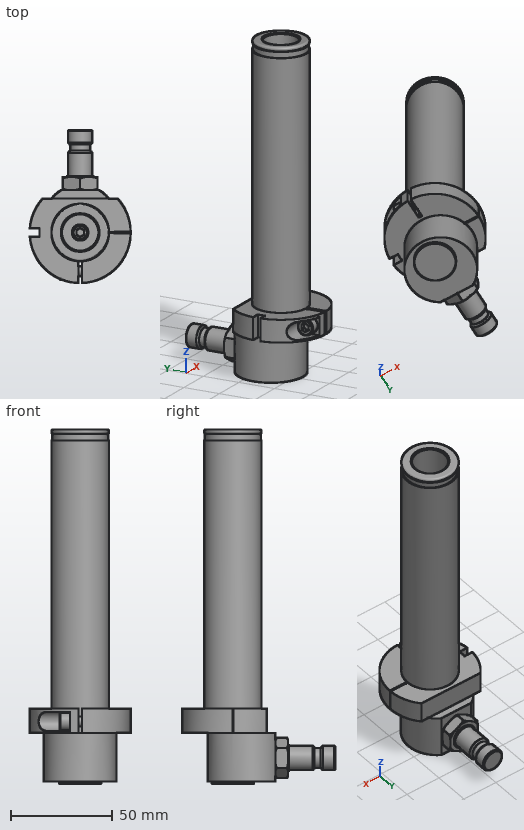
import cadquery as cq
import math

total_height = 174.9
tube_diameter = 28.5
bore_diameter = 18.0
bore_chamfer = 0.5
cap_height = 2.3
neck_diameter = 27.8
end_piece_height = 5.5
neck_bottom = total_height - end_piece_height

foot_height = 1.0
foot_diameter = 21.0
foot_chamfer = 0.3
base_top = 25.2
base_diameter = 36.0
base_offset = 5.6
base_flat = 21.0

plug_diameter = 8.0
plug_height = 1.7
plug_chamfer = 0.7
plug_socket = 3.8
plug_socket_depth = 1.0

collar_diameter = 50.0
collar_radius = collar_diameter / 2
collar_top = 37.0
collar_flat = 16.8
notch_width = 4.0
notch_depth = 4.9
clamp_slit_width = 1.7
hinge_slit_width = 0.5
hinge_slit_start = 15.2

screw_y = -19.0
screw_z = 30.8
screw_pocket_diameter = 9.5
screw_seat_x = -5.0
head_diameter = 8.5
head_length = 5.2
head_chamfer = 0.5
head_socket = 4.0
head_socket_depth = 2.6
shank_diameter = 5.0

fitting_z = 12.8
fitting_end = 50.5
fitting_diameter = 12.0
fitting_chamfer = 0.5
groove_diameter = 10.0
groove_start = 39.4
groove_end = 44.5
groove_taper = (fitting_diameter - groove_diameter) / 2
nut_width = 17.3
nut_end = 27.3
nut_face_diameter = 18.0
nut_bevel_angle = 30.0
washer_diameter = 13.0
washer_thickness = 0.5
washer_end = nut_end + washer_thickness


def cylinder_z(diameter, bottom, top, y=0.0):
    return cq.Workplane("XY", origin=(0, y, bottom)).circle(diameter / 2).extrude(top - bottom)


def cylinder_x(diameter, start, end):
    """Cylinder on the clamp screw axis."""
    return cq.Workplane("YZ", origin=(start, screw_y, screw_z)).circle(diameter / 2).extrude(end - start)


def box_between(x_range, y_range, z_range):
    sizes = [high - low for low, high in (x_range, y_range, z_range)]
    corner = (x_range[0], y_range[0], z_range[0])
    return cq.Workplane("XY").box(*sizes, centered=False).translate(corner)


def hexagon(plane, width):
    """Hexagon of the given width across flats, with corners along the plane's local Y."""
    corner_diameter = width / math.cos(math.radians(30))
    return plane.transformed(rotate=(0, 0, 90)).polygon(6, corner_diameter)


def make_base():
    """Base block and foot."""
    base = cylinder_z(base_diameter, foot_height, base_top, base_offset)
    behind_flat = box_between(
        (-base_diameter, base_diameter), (base_flat, base_flat + base_diameter), (0, base_top)
    )
    foot = cylinder_z(foot_diameter, 0, base_top).faces("<Z").chamfer(foot_chamfer)
    return base.cut(behind_flat).union(foot)


def make_tube():
    tube = cylinder_z(tube_diameter, base_top, neck_bottom)
    neck = cylinder_z(neck_diameter, neck_bottom, total_height - cap_height)
    return tube.union(neck).union(make_cap())


def make_cap():
    """End disc with a half-round rim."""
    rim_radius = cap_height / 2
    flat_radius = tube_diameter / 2 - rim_radius
    profile = (
        cq.Workplane("XZ")
        .moveTo(0, total_height - cap_height)
        .lineTo(flat_radius, total_height - cap_height)
        .threePointArc((tube_diameter / 2, total_height - rim_radius), (flat_radius, total_height))
        .lineTo(0, total_height)
        .close()
    )
    return profile.revolve(360, (0, 0, 0), (0, 1, 0))


def make_bore():
    """Blind bore down to the base, with a chamfered mouth."""
    bore = cylinder_z(bore_diameter, base_top, total_height)
    mouth = (
        cq.Workplane("XY", origin=(0, 0, total_height))
        .circle(bore_diameter / 2 + bore_chamfer)
        .extrude(-bore_chamfer, taper=45)
    )
    return bore.union(mouth)


def make_plug():
    top = base_top + plug_height
    plug = cylinder_z(plug_diameter, base_top, top).faces(">Z").chamfer(plug_chamfer)
    socket = hexagon(cq.Workplane("XY", origin=(0, 0, top)), plug_socket).extrude(-plug_socket_depth)
    return plug.cut(socket)


def make_collar():
    height_range = (base_top, collar_top)
    collar = cylinder_z(collar_diameter, *height_range)
    cutters = [
        box_between((-collar_radius, collar_radius), (collar_flat, collar_radius), height_range),
        box_between(
            (-collar_radius, notch_depth - collar_radius), (-notch_width / 2, notch_width / 2), height_range
        ),
        box_between((-clamp_slit_width / 2, clamp_slit_width / 2), (-collar_radius, 0), height_range),
        box_between(
            (hinge_slit_start, collar_radius), (-hinge_slit_width / 2, hinge_slit_width / 2), height_range
        ),
    ]
    for cutter in cutters:
        collar = collar.cut(cutter)
    return collar.cut(make_screw_pocket()).union(make_screw())


def make_screw_pocket():
    """Round-bottomed pocket for the screw head, open to the collar's rim."""
    pocket_radius = screw_pocket_diameter / 2
    round_side = cylinder_x(screw_pocket_diameter, -collar_radius, screw_seat_x)
    open_side = box_between(
        (-collar_radius, screw_seat_x),
        (-collar_radius, screw_y),
        (screw_z - pocket_radius, screw_z + pocket_radius),
    )
    return round_side.union(open_side)


def make_screw():
    head_end = screw_seat_x - head_length
    head = cylinder_x(head_diameter, head_end, screw_seat_x).faces("<X").chamfer(head_chamfer)
    socket_plane = cq.Workplane("YZ", origin=(head_end, screw_y, screw_z))
    socket = hexagon(socket_plane, head_socket).extrude(head_socket_depth)
    shank = cylinder_x(shank_diameter, screw_seat_x, -screw_seat_x)
    return head.cut(socket).union(shank)


def revolve_on_fitting_axis(outline):
    """Turn (radius, y) points around the fitting axis."""
    profile = cq.Workplane("XY", origin=(0, 0, fitting_z)).polyline(outline).close()
    return profile.revolve(360, (0, 0, 0), (0, 1, 0))


def make_fitting():
    radius = fitting_diameter / 2
    groove_radius = groove_diameter / 2
    washer_radius = washer_diameter / 2
    stem = revolve_on_fitting_axis([
        (0, base_flat),
        (washer_radius, base_flat),
        (washer_radius, washer_end),
        (radius, washer_end),
        (radius, groove_start),
        (groove_radius, groove_start + groove_taper),
        (groove_radius, groove_end - groove_taper),
        (radius, groove_end),
        (radius, fitting_end - fitting_chamfer),
        (radius - fitting_chamfer, fitting_end),
        (0, fitting_end),
    ])
    return stem.union(make_nut())


def make_nut():
    """Hexagon nut with the corners of both faces bevelled."""
    nut_plane = cq.Workplane("XZ", origin=(0, base_flat, fitting_z))
    nut = hexagon(nut_plane, nut_width).extrude(base_flat - nut_end)
    face_radius = nut_face_diameter / 2
    bevel_width = nut_width - face_radius
    bevel_height = bevel_width * math.tan(math.radians(nut_bevel_angle))
    bevel_envelope = revolve_on_fitting_axis([
        (0, base_flat),
        (face_radius, base_flat),
        (nut_width, base_flat + bevel_height),
        (nut_width, nut_end - bevel_height),
        (face_radius, nut_end),
        (0, nut_end),
    ])
    return nut.intersect(bevel_envelope)


body = make_base().union(make_collar()).union(make_tube()).union(make_fitting())
bored = body.cut(make_bore())
result = bored.union(make_plug())